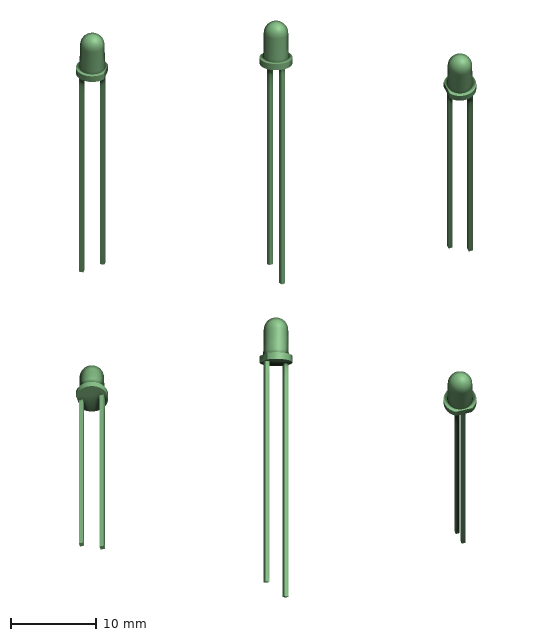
import cadquery as cq

total_height = 33.38
flange_bottom = 28.0

flange_diameter = 3.85
flange_width_across_flat = 3.57
flange_thickness = 0.8
barrel_base_radius = 1.5
dome_radius = 1.45

lead_width = 0.5
lead_pitch = 2.55
lead_length_difference = 1.5

flange_radius = flange_diameter / 2
flange_top = flange_bottom + flange_thickness
dome_base = total_height - dome_radius
flat_x = flange_width_across_flat - flange_radius


def make_flange():
    """Round disc cut straight on its +X side."""
    disc = cq.Workplane("XY").workplane(offset=flange_bottom).circle(flange_radius).extrude(flange_thickness)
    beyond_flat = (
        cq.Workplane("XY")
        .box(flange_diameter, flange_diameter, flange_thickness, centered=(False, True, False))
        .translate((flat_x, 0, flange_bottom))
    )
    return disc.cut(beyond_flat)


def make_barrel_and_dome():
    """Revolved half-profile of the tapered barrel and its hemispherical end."""
    dome_midpoint = (dome_radius * 0.5 ** 0.5, dome_base + dome_radius * 0.5 ** 0.5)
    return (
        cq.Workplane("XZ")
        .moveTo(0, flange_bottom)
        .lineTo(barrel_base_radius, flange_bottom)
        .lineTo(barrel_base_radius, flange_top)
        .lineTo(dome_radius, dome_base)
        .threePointArc(dome_midpoint, (0, total_height))
        .close()
        .revolve(360, (0, 0, 0), (0, 1, 0))
    )


def make_lens():
    """Flange, barrel and dome as one moulded body."""
    return make_flange().union(make_barrel_and_dome())


def make_lead(center_x, tip_z):
    """Square lead from its tip up to the underside of the flange."""
    return (
        cq.Workplane("XY")
        .box(lead_width, lead_width, flange_bottom - tip_z, centered=(True, True, False))
        .translate((center_x, 0, tip_z))
    )


lens = make_lens()

lead_places = [(-lead_pitch / 2, 0), (lead_pitch / 2, lead_length_difference)]
leads = []
for center_x, tip_z in lead_places:
    leads.append(make_lead(center_x, tip_z))

result = cq.Compound.makeCompound([lens.val(), *[lead.val() for lead in leads]])